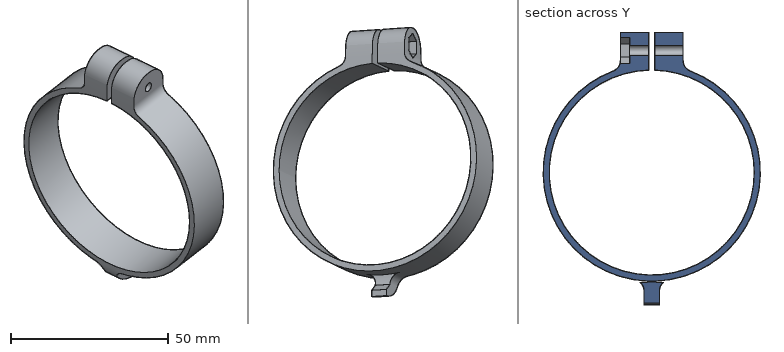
import cadquery as cq
import math

bore_radius = 32.5
wall = 2.0
outer_radius = bore_radius + wall
middle_radius = bore_radius + wall / 2
band_width = 15.0
half_width = band_width / 2

lug_span = 20.0
lug_gap = 1.8
lug_top = 44.5
lug_flat = 1.0
lug_shoulder = 38.75
lug_taper_start = 35.1
lug_taper = 0.12
root_radius = 3.5

screw_height = lug_shoulder
screw_diameter = 3.0
nut_across_corners = 8.0
nut_depth = 3.0

hook_thickness = 5.0
hook_bottom = -42.0
hook_curve_start = -33.75
hook_tip_y = 3.75
hook_tip_z = -40.0
throat_radius = 9.0
throat_end_y = 0.65


def extrude_along_x(profile):
    """Extrude a profile on the side plane across the whole ring."""
    return profile.extrude(2 * outer_radius)


def side_plane():
    """YZ plane that touches the -X side of the ring."""
    return cq.Workplane("YZ", origin=(-outer_radius, 0, 0))


def front_plane():
    """Plane on the +Y face of the band; extruding from it goes towards -Y."""
    return cq.Workplane("XZ", origin=(0, half_width, 0))


def tangent_arc_middle(run, drop):
    """Middle point of an arc that leaves its start tangentially.

    The whole arc advances `run` along its starting direction and `drop` across it; the middle
    point is given as (advance, offset) in the same directions.
    """
    radius = (run**2 + drop**2) / (2 * drop)
    half_sweep = math.atan2(drop, run)
    return radius * math.sin(half_sweep), radius * (1 - math.cos(half_sweep))


def flared_block(width, reach):
    """Block across the band that blends into the ring with a concave arc on each side.

    It starts halfway through the ring wall and rises along +Z to the height `reach`.
    """
    half = width / 2
    arc_x = half + root_radius
    arc_z = math.sqrt((outer_radius + root_radius) ** 2 - arc_x**2)
    tilt = math.atan2(arc_z, arc_x)
    middle_x = arc_x - root_radius * math.cos(tilt / 2)
    middle_z = arc_z - root_radius * math.sin(tilt / 2)
    touch_x = outer_radius * math.cos(tilt)
    touch_z = outer_radius * math.sin(tilt)
    foot_x = middle_radius * math.cos(tilt)
    foot_z = middle_radius * math.sin(tilt)
    return (
        front_plane()
        .moveTo(half, reach)
        .lineTo(half, arc_z)
        .threePointArc((middle_x, middle_z), (touch_x, touch_z))
        .lineTo(foot_x, foot_z)
        .threePointArc((0, middle_radius), (-foot_x, foot_z))
        .lineTo(-touch_x, touch_z)
        .threePointArc((-middle_x, middle_z), (-half, arc_z))
        .lineTo(-half, reach)
        .close()
        .extrude(band_width)
    )


def make_ring():
    return front_plane().circle(outer_radius).circle(bore_radius).extrude(band_width)


def make_lugs():
    """Both lugs as one block, slightly tapered below the shoulder and rounded above it."""
    flat_y = lug_flat / 2
    shoulder_y = half_width - lug_taper
    taper_rise, taper_inset = tangent_arc_middle(lug_shoulder - lug_taper_start, lug_taper)
    taper_y = half_width - taper_inset
    taper_z = lug_taper_start + taper_rise
    corner_run, corner_drop = tangent_arc_middle(shoulder_y - flat_y, lug_top - lug_shoulder)
    corner_y = flat_y + corner_run
    corner_z = lug_top - corner_drop
    profile = (
        side_plane()
        .moveTo(-half_width, 0)
        .lineTo(half_width, 0)
        .lineTo(half_width, lug_taper_start)
        .threePointArc((taper_y, taper_z), (shoulder_y, lug_shoulder))
        .threePointArc((corner_y, corner_z), (flat_y, lug_top))
        .lineTo(-flat_y, lug_top)
        .threePointArc((-corner_y, corner_z), (-shoulder_y, lug_shoulder))
        .threePointArc((-taper_y, taper_z), (-half_width, lug_taper_start))
        .close()
    )
    return flared_block(lug_span, lug_top).intersect(extrude_along_x(profile))


def make_hook():
    """Hook that hangs from the -Y half of the band and reaches towards +Y; its back is still square."""
    throat_drop = math.sqrt(throat_radius**2 - (throat_radius - throat_end_y) ** 2)
    throat_end_z = -outer_radius - throat_drop
    throat_advance, throat_y = tangent_arc_middle(throat_drop, throat_end_y)
    throat_z = -outer_radius - throat_advance
    profile = (
        side_plane()
        .moveTo(-half_width, 0)
        .lineTo(-half_width, hook_bottom)
        .lineTo(hook_tip_y, hook_bottom)
        .lineTo(hook_tip_y, hook_tip_z)
        .lineTo(throat_end_y, throat_end_z)
        .threePointArc((throat_y, throat_z), (0, -outer_radius))
        .lineTo(0, 0)
        .close()
    )
    block = flared_block(hook_thickness, -hook_bottom).mirror("XY")
    return block.intersect(extrude_along_x(profile))


def round_hook_back(body):
    """Cut a quarter ellipse along the back of the hook; it also trims the edge of the ring there."""
    curve_run = hook_tip_y + half_width
    curve_drop = hook_curve_start - hook_bottom
    corner = (
        side_plane()
        .moveTo(-half_width, hook_curve_start)
        .ellipseArc(curve_run, curve_drop, 180, 270, startAtCurrent=True)
        .lineTo(-half_width, hook_bottom)
        .close()
    )
    return body.cut(extrude_along_x(corner))


def cut_clamp(body):
    """Cut the gap between the lugs, the screw hole and the nut pocket in the -X lug."""
    gap = cq.Workplane("XY").box(lug_gap, band_width, lug_top, centered=(True, True, False))
    lug_face = cq.Workplane("YZ", origin=(-lug_span / 2, 0, screw_height))
    screw = lug_face.circle(screw_diameter / 2).extrude(lug_span)
    nut_start = cq.Workplane("YZ", origin=(-lug_span / 2 - root_radius, 0, screw_height))
    nut = (
        nut_start.transformed(rotate=(0, 0, 90))
        .polygon(6, nut_across_corners)
        .extrude(root_radius + nut_depth)
    )
    return body.cut(gap).cut(screw).cut(nut)


body = make_ring().union(make_lugs()).union(make_hook())
result = cut_clamp(round_hook_back(body))